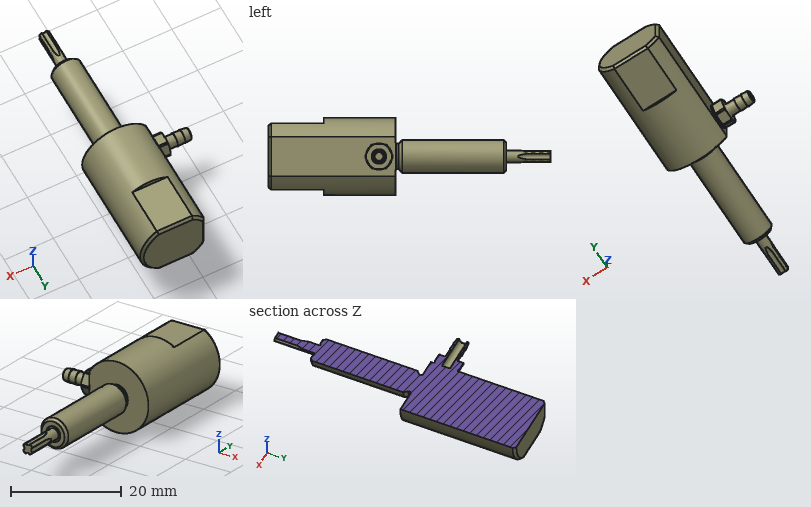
import cadquery as cq
import math


overall_width = 20.3
body_diameter = 14.0
body_radius = body_diameter / 2
body_length = 23.0
flat_offset = 6.0
wrench_flat_length = 10.0
rear_chamfer = 0.5

sleeve_radius = 3.0
sleeve_end = 20.0
sleeve_chamfer = 0.5
neck_radius = 2.35
neck_flare = 0.15
neck_end = 0.55
recess_radius = 1.55
recess_depth = 0.1

pin_radius = 1.1
pin_end = 28.0
groove_count = 4
groove_radius = 0.55
groove_floor = 0.75
groove_length = 4.5
runout_length = 1.45
runout_overrun = 2

fitting_setback = 3.0
fitting_length = overall_width - body_radius - flat_offset
flange_radius = 2.4
flange_thickness = 0.3
hex_end = 2.3
hex_width = 4.5
hex_corner_radius = 2.5
hex_chamfer = 0.15
hose_radius = 1.2
hose_bore_radius = 0.75
root_fillet = 0.2
barb_radius = 1.35
barb_ends = (2.0, 3.5)
tip_radius = 1.15
tip_chamfer = 0.15


def make_body():
    """Cylinder with one full-length flat, two rear wrench flats and a chamfered rear edge."""
    blank = cq.Workplane("XZ").circle(body_radius).extrude(-body_length)
    side_keep = cq.Workplane("XY").box(
        flat_offset + body_radius, body_length, body_diameter, centered=(False, False, True)
    ).translate((-flat_offset, 0, 0))
    blank = blank.intersect(side_keep)
    for side in (1, -1):
        waste = cq.Workplane("XY").box(
            body_diameter, wrench_flat_length, body_radius, centered=(True, False, True)
        )
        waste_height = side * (flat_offset + body_radius / 2)
        blank = blank.cut(waste.translate((0, body_length - wrench_flat_length, waste_height)))
    return blank.faces(">Y").edges().chamfer(rear_chamfer)


def make_sleeve():
    """Turned sleeve with an undercut neck and a recess around the pin."""
    cone_end = neck_end + sleeve_radius - neck_radius
    profile = [
        (0, 0),
        (neck_radius + neck_flare, 0),
        (neck_radius, -neck_flare),
        (neck_radius, -neck_end),
        (sleeve_radius, -cone_end),
        (sleeve_radius, -sleeve_end + sleeve_chamfer),
        (sleeve_radius - sleeve_chamfer, -sleeve_end),
        (recess_radius, -sleeve_end),
        (recess_radius, -sleeve_end + recess_depth),
        (0, -sleeve_end + recess_depth),
    ]
    return cq.Workplane("XY").polyline(profile).close().revolve(360, (0, 0, 0), (0, 1, 0))


def make_pin():
    """Round pin with four round-bottomed grooves that slope out toward the sleeve."""
    pin_start = sleeve_end - recess_depth
    pin = cq.Workplane("XZ", origin=(0, -pin_start, 0)).circle(pin_radius).extrude(pin_end - pin_start)
    groove_axis = groove_floor + groove_radius
    groove_start = pin_end - groove_length
    groove_rise = pin_radius - groove_floor

    section = cq.Wire.makeCircle(
        groove_radius, cq.Vector(0, -groove_start, groove_axis), cq.Vector(0, 1, 0)
    )
    straight_path = cq.Vector(0, -groove_length, 0)
    runout_path = cq.Vector(0, runout_length, groove_rise) * runout_overrun
    cutters = [
        cq.Workplane(cq.Solid.extrudeLinear(section, [], path)) for path in (straight_path, runout_path)
    ]
    for index in range(groove_count):
        angle = index * 360 / groove_count
        for cutter in cutters:
            pin = pin.cut(cutter.rotate((0, 0, 0), (0, 1, 0), angle))
    return pin


def make_fitting():
    """Hex-based barbed hose fitting, built along +Z from the mounting face at Z = 0."""
    flange = cq.Workplane("XY").circle(flange_radius).extrude(flange_thickness)

    hex_corner_diameter = hex_width / math.cos(math.pi / 6)
    hex_height = hex_end - flange_thickness
    hexagon = cq.Workplane("XY").polygon(6, hex_corner_diameter).extrude(hex_height)
    envelope = cq.Workplane("XY").circle(hex_corner_radius).extrude(hex_height).edges().chamfer(hex_chamfer)
    nut = hexagon.intersect(envelope).translate((0, 0, flange_thickness))

    first_barb, second_barb = (hex_end + end for end in barb_ends)
    fillet_mid = root_fillet * (1 - math.sqrt(0.5))
    hose = (
        cq.Workplane("XZ")
        .moveTo(0, hex_end)
        .lineTo(hose_radius + root_fillet, hex_end)
        .threePointArc((hose_radius + fillet_mid, hex_end + fillet_mid), (hose_radius, hex_end + root_fillet))
        .lineTo(hose_radius, first_barb)
        .lineTo(barb_radius, first_barb)
        .lineTo(hose_radius, second_barb)
        .lineTo(barb_radius, second_barb)
        .lineTo(tip_radius, fitting_length - tip_chamfer)
        .lineTo(tip_radius - tip_chamfer, fitting_length)
        .lineTo(0, fitting_length)
        .close()
        .revolve(360, (0, 0, 0), (0, 1, 0))
    )
    bore = cq.Workplane("XY").circle(hose_bore_radius).extrude(fitting_length)
    return flange.union(nut).union(hose).cut(bore)


def place_fitting(fitting):
    """Turn the fitting toward -X with two hex corners along Y and seat it on the side flat."""
    upright = fitting.rotate((0, 0, 0), (0, 0, 1), 90)
    return upright.rotate((0, 0, 0), (0, 1, 0), -90).translate((-flat_offset, fitting_setback, 0))


result = (
    make_body()
    .union(make_sleeve())
    .union(make_pin())
    .union(place_fitting(make_fitting()))
)